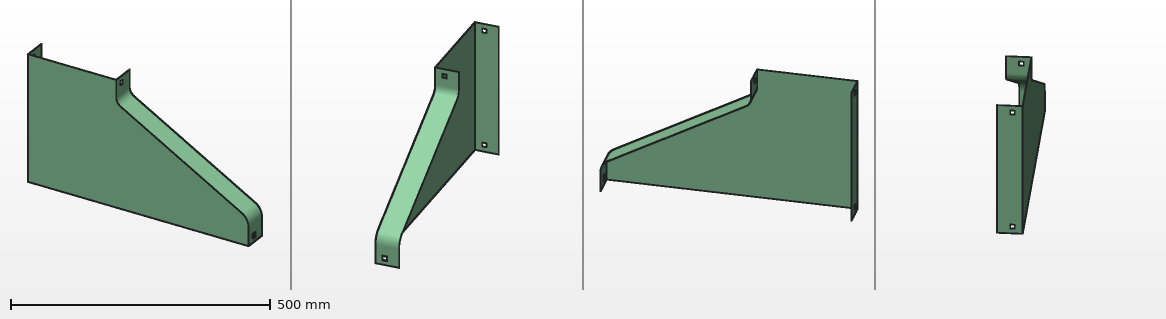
import cadquery as cq

length = 500.0
depth = 50.0
height = 280.0
sheet = 0.8

collar_height = 0.8
collar_wall = 1.0
nose_x = length - collar_height

shoulder_length = 200.0
slope_top = height - 50.0
nose_height = 60.0
inner_corner_radius = 20.0
nose_radius = 30.0

hole_size = 8.5
hole_edge_distance = 15.0
hole_y = 20.0


def rounded_profile():
    """Solid with the side profile and full depth, from the front face towards +Y."""
    outline = [
        (0, 0),
        (nose_x, 0),
        (nose_x, nose_height),
        (shoulder_length, slope_top),
        (shoulder_length, height),
        (0, height),
    ]
    body = cq.Workplane("XZ").polyline(outline).close().extrude(-depth)
    nose_corner = cq.selectors.NearestToPointSelector((nose_x, depth / 2, nose_height))
    inner_corner = cq.selectors.NearestToPointSelector((shoulder_length, depth / 2, slope_top))
    body = body.edges("|Y").edges(nose_corner).fillet(nose_radius)
    return body.edges("|Y").edges(inner_corner).fillet(inner_corner_radius)


def bent_sheet():
    """Front web with flanges; the back, the shoulder top and the underside are open."""
    return rounded_profile().faces(">Y or <Z or >Z").shell(-sheet)


def square_bar(size, start_x, bar_length, z):
    """Square bar along X, centred on the hole line."""
    return cq.Workplane("YZ", origin=(start_x, hole_y, z)).rect(size, size).extrude(bar_length)


collar_size = hole_size + 2 * collar_wall
collar = square_bar(collar_size, nose_x - sheet, sheet + collar_height, hole_edge_distance)
result = bent_sheet().union(collar)

for hole_z in (hole_edge_distance, height - hole_edge_distance):
    result = result.cut(square_bar(hole_size, 0, length, hole_z))